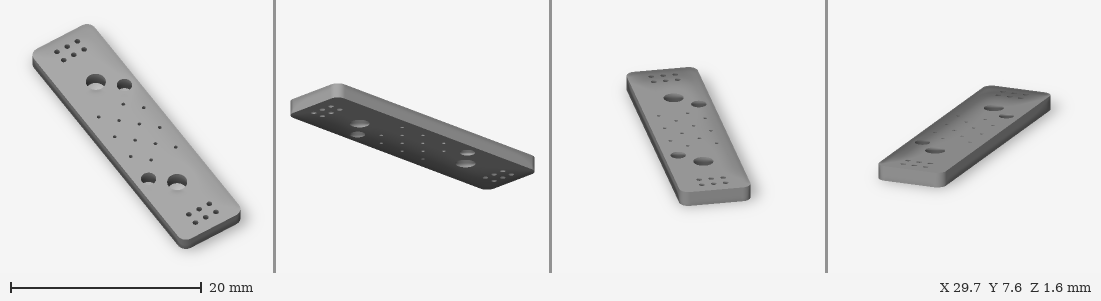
import cadquery as cq

length = 29.7
width = 7.6
thickness = 1.6
corner_radius = 0.98

pin_diameter = 0.6
pin_pitch = 1.28
pin_columns = 2
pin_rows = 3
pin_block_x = 12.7

large_diameter = 2.1
large_x = 7.85

medium_diameter = 1.6
medium_x = 5.85
medium_y = 2.3

small_diameter = 0.4
small_pitch = 3.1
small_row_spacing = small_pitch / 2
small_row_shift = small_pitch / 2
small_columns = 3
small_rows = 4
small_first_x = -3.8
small_first_y = -2.25


def drill(plate, points, diameter):
    """Cut through holes of one diameter at the given points."""
    return plate.faces(">Z").workplane(origin=(0, 0, thickness)).pushPoints(points).hole(diameter)


def pin_points():
    points = []
    for block_x in (-pin_block_x, pin_block_x):
        for column in range(pin_columns):
            for row in range(pin_rows):
                x = block_x + (column - (pin_columns - 1) / 2) * pin_pitch
                y = (row - (pin_rows - 1) / 2) * pin_pitch
                points.append((x, y))
    return points


def small_points():
    points = []
    for row in range(small_rows):
        row_x = small_first_x + (row % 2) * small_row_shift
        for column in range(small_columns):
            points.append((row_x + column * small_pitch, small_first_y + row * small_row_spacing))
    return points


plate = cq.Workplane("XY").box(length, width, thickness, centered=(True, True, False))
plate = plate.edges("|Z").fillet(corner_radius)
plate = drill(plate, pin_points(), pin_diameter)
plate = drill(plate, [(-large_x, 0), (large_x, 0)], large_diameter)
plate = drill(plate, [(-medium_x, medium_y), (medium_x, -medium_y)], medium_diameter)
result = drill(plate, small_points(), small_diameter)